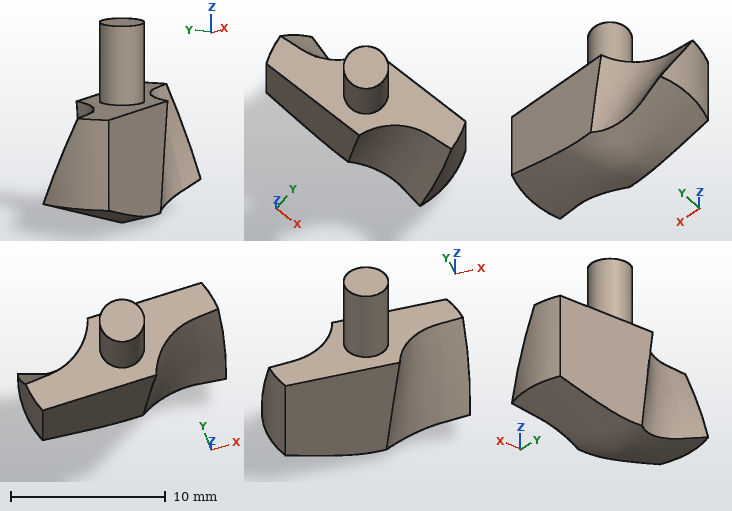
import cadquery as cq
import math

head_radius = 6.74
head_thickness = 5.07
shoulder_z = 2.06
head_top_z = 8.01
total_height = 13.2
shank_diameter = 2.9

land_start = (5.05, 0.34)
land_slope = 5.2
flute_radius = 4.11
flute_sweep = 67.0
land_twist = 23.9
cutter_reach = 1.3 * head_radius

total_twist = land_twist * head_top_z / (head_top_z - shoulder_z)


def make_head():
    """Round drill head with a conical tip, cut to a slab by two parallel flats."""
    turned = (
        cq.Workplane("XZ")
        .polyline([(0, 0), (head_radius, shoulder_z), (head_radius, head_top_z), (0, head_top_z)])
        .close()
        .revolve(360, (0, 0), (0, 1))
    )
    slab = cq.Workplane("XY").box(
        2 * head_radius, head_thickness, head_top_z, centered=(True, True, False)
    )
    return turned.intersect(slab)


def make_flute_cutter():
    """Helical cutter: a straight land blending tangentially into a round gullet."""
    slope = math.radians(land_slope)
    center_x = land_start[0] + flute_radius * math.sin(slope)
    center_y = land_start[1] - flute_radius * math.cos(slope)

    def arc_point(swept_degrees):
        angle = math.radians(90 + land_slope + swept_degrees)
        return (
            center_x + flute_radius * math.cos(angle),
            center_y + flute_radius * math.sin(angle),
        )

    land_end = (cutter_reach, land_start[1] + (cutter_reach - land_start[0]) * math.tan(slope))
    gullet_end = arc_point(flute_sweep)
    return (
        cq.Workplane("XY")
        .transformed(rotate=(0, 0, -total_twist))
        .moveTo(*land_end)
        .lineTo(*land_start)
        .threePointArc(arc_point(flute_sweep / 2), gullet_end)
        .lineTo(gullet_end[0], -cutter_reach)
        .lineTo(cutter_reach, -cutter_reach)
        .close()
        .twistExtrude(head_top_z, total_twist)
    )


head = make_head()
flute_cutter = make_flute_cutter()
for flute_angle in (0, 180):
    head = head.cut(flute_cutter.rotate((0, 0, 0), (0, 0, 1), flute_angle))

shank = (
    cq.Workplane("XY")
    .workplane(offset=head_top_z)
    .circle(shank_diameter / 2)
    .extrude(total_height - head_top_z)
)

result = head.union(shank)